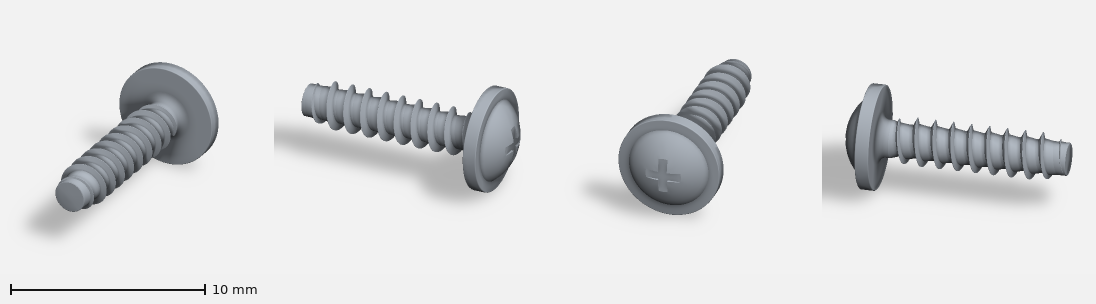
import cadquery as cq
import math


head_height = 1.76
flange_radius = 2.75
flange_thickness = 0.73
flange_edge_radius = 0.05
dome_base_radius = 2.16
slot_width = 0.48
slot_depth = 0.15

shank_length = 10.0
neck_radius = 0.99
neck_fillet = 0.39
neck_end = 0.62
core_radius = 0.86
core_start = 1.02
tip_cone_height = 0.04
tip_bevel = 0.04
tip_bevel_length = 0.02

rim_height = shank_length - tip_cone_height
core_end = rim_height - tip_bevel_length

span_turns = 7
span_length = 6.65
pitch = span_length / span_turns
full_turns = 7.25
crest_diameter = 2.5
crest_radius = crest_diameter / 2
crest_flat = 0.02
groove_flank_angle = math.radians(25)
shoulder_flank_angle = math.radians(20)
shoulder_radius = 0.94
groove_length = 0.12
shoulder_sink = 0.006
fade_depth = 0.018
root_depth = 0.07
buried_radius = core_radius - fade_depth
root_radius = core_radius - root_depth
first_crest_on_x = 0.73
run_in_turns = 1.1
run_out_turns = 1.4
start_height = 0.55
end_height = 0.02
points_per_turn = 24

thread_start = -0.1
full_start = thread_start + run_in_turns
full_end = full_start + full_turns
thread_end = full_end + run_out_turns


def head_and_shank():
    """Flanged domed head, filleted neck and plain core as one revolved solid."""
    corner_radius = slot_width / math.sqrt(2)
    dome_centre = (
        dome_base_radius**2 + flange_thickness**2 - corner_radius**2 - head_height**2
    ) / (2 * (head_height - flange_thickness))
    dome_radius = math.hypot(dome_base_radius, flange_thickness + dome_centre)
    dome_apex = dome_radius - dome_centre
    mid_angle = 0.5 * math.asin(dome_base_radius / dome_radius)
    dome_middle = (dome_radius * math.sin(mid_angle), dome_centre - dome_radius * math.cos(mid_angle))

    edge = flange_edge_radius
    profile = (
        cq.Workplane("YZ")
        .moveTo(0, -dome_apex)
        .threePointArc(dome_middle, (dome_base_radius, -flange_thickness))
        .lineTo(flange_radius - edge, -flange_thickness)
        .radiusArc((flange_radius, -flange_thickness + edge), -edge)
        .lineTo(flange_radius, -edge)
        .radiusArc((flange_radius - edge, 0), -edge)
        .lineTo(neck_radius + neck_fillet, 0)
        .radiusArc((neck_radius, neck_fillet), neck_fillet)
        .lineTo(neck_radius, neck_end)
        .lineTo(core_radius, core_start)
        .lineTo(core_radius, core_end)
        .lineTo(core_radius - tip_bevel, rim_height)
        .lineTo(0, shank_length)
        .close()
    )
    return profile.revolve(360, (0, 0, 0), (0, 1, 0))


def cross_slot():
    """Two crossed slots over the top of the dome."""
    floor = -(head_height - slot_depth)
    clearance = 0.12
    slots = (
        cq.Workplane("XY")
        .workplane(offset=floor)
        .rect(2 * flange_radius, slot_width)
        .extrude(-slot_depth - clearance)
    )
    return slots.union(slots.rotate((0, 0, 0), (0, 0, 1), 90))


def height_fraction(turn):
    """Part of the full thread height present at a turn."""
    if turn < full_start:
        return start_height + (1 - start_height) * (turn - thread_start) / run_in_turns
    if turn > full_end:
        return 1 - (1 - end_height) * (turn - full_end) / run_out_turns
    return 1.0


def thread_section(turn):
    """Corners (radius, offset along the axis from the crest) of the thread body at a turn."""
    fraction = height_fraction(turn)

    def faded(radius):
        return buried_radius + fraction * (radius - buried_radius)

    crest, shoulder = faded(crest_radius), faded(shoulder_radius)
    shoulder_toe = faded(core_radius - shoulder_sink)
    half_flat = crest_flat / 2
    groove_slope = math.tan(groove_flank_angle)
    shoulder_slope = math.tan(shoulder_flank_angle)
    groove_foot = half_flat + groove_slope * (crest_radius - core_radius)
    shoulder_end = pitch - groove_foot - groove_length
    return [
        (root_radius, -half_flat - groove_slope * (crest - root_radius)),
        (crest, -half_flat),
        (crest, half_flat),
        (shoulder, half_flat + shoulder_slope * (crest - shoulder)),
        (shoulder_toe, shoulder_end),
        (root_radius, shoulder_end),
    ]


def thread_point(turn, corner):
    """Position in space of one section corner at a turn."""
    radius, offset = thread_section(turn)[corner]
    angle = 2 * math.pi * turn
    return cq.Vector(
        radius * math.cos(angle), radius * math.sin(angle), first_crest_on_x + pitch * turn + offset
    )


def thread_flanks(start, end):
    """Ruled helical faces joining neighbouring section corners between two turns."""
    corners = len(thread_section(start))
    steps = round(points_per_turn * (end - start))
    turns = [start + (end - start) * i / steps for i in range(steps + 1)]
    helices = [cq.Edge.makeSpline([thread_point(t, c) for t in turns]) for c in range(corners)]
    return [cq.Face.makeRuledSurface(helices[c - 1], helices[c]) for c in range(corners)]


def thread_cap(turn):
    """Flat end face of the thread body at a turn."""
    corners = len(thread_section(turn))
    outline = cq.Wire.makePolygon([thread_point(turn, c) for c in range(corners)], close=True)
    return cq.Face.makeFromWires(outline)


def thread():
    """Run-in, full-height and run-out thread as one body, cut off where the core ends."""
    limits = [thread_start, full_start, full_end, thread_end]
    faces = [thread_cap(thread_start), thread_cap(thread_end)]
    for start, end in zip(limits, limits[1:]):
        faces += thread_flanks(start, end)
    body = cq.Solid.makeSolid(cq.Shell.makeShell(faces))
    envelope = cq.Solid.makeCylinder(flange_radius, core_end)
    return cq.Workplane(body.intersect(envelope))


screw = head_and_shank().cut(cross_slot()).union(thread())
result = screw.rotate((0, 0, 0), (1, 0, 0), 90).solids()